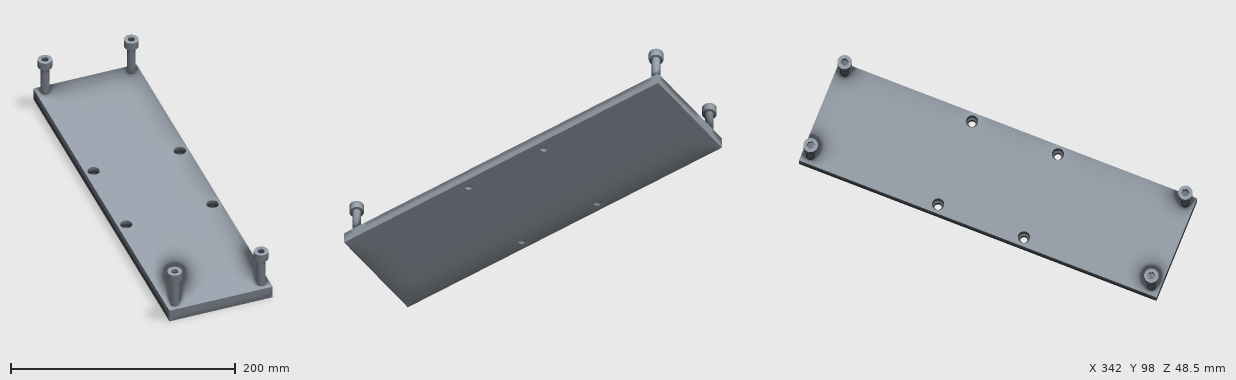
import cadquery as cq
import math

plate_length = 342.0
plate_width = 98.0
plate_thickness = 12.0
total_height = 48.5

screw_spacing_x = 326.0
row_spacing_y = 82.0
head_diameter = 13.0
head_height = 8.0
shank_diameter = 8.0
socket_across_flats = 6.0
socket_depth = 4.0

hole_spacing_x = row_spacing_y
hole_diameter = 6.5
counterbore_diameter = 11.0
counterbore_depth = 7.0


def make_plate():
    plate = cq.Workplane("XY").box(
        plate_length, plate_width, plate_thickness, centered=(True, True, False)
    )
    return (
        plate.faces(">Z")
        .workplane()
        .rarray(hole_spacing_x, row_spacing_y, 2, 2)
        .cboreHole(hole_diameter, counterbore_diameter, counterbore_depth)
    )


def make_screws():
    """Four screws whose shanks reach down to the underside of the plate."""
    head_bottom = total_height - head_height
    shanks = (
        cq.Workplane("XY")
        .rarray(screw_spacing_x, row_spacing_y, 2, 2)
        .circle(shank_diameter / 2)
        .extrude(head_bottom)
    )
    heads = (
        cq.Workplane("XY", origin=(0, 0, head_bottom))
        .rarray(screw_spacing_x, row_spacing_y, 2, 2)
        .circle(head_diameter / 2)
        .extrude(head_height)
    )
    corner_radius = socket_across_flats / math.sqrt(3)
    hexagon = [
        (corner_radius * math.sin(math.radians(angle)), corner_radius * math.cos(math.radians(angle)))
        for angle in range(0, 360, 60)
    ]
    sockets = (
        cq.Workplane("XY", origin=(0, 0, total_height))
        .rarray(screw_spacing_x, row_spacing_y, 2, 2)
        .eachpoint(cq.Workplane("XY").polyline(hexagon).close().extrude(-socket_depth).val())
    )
    return shanks.union(heads).cut(sockets)


result = make_plate().union(make_screws())